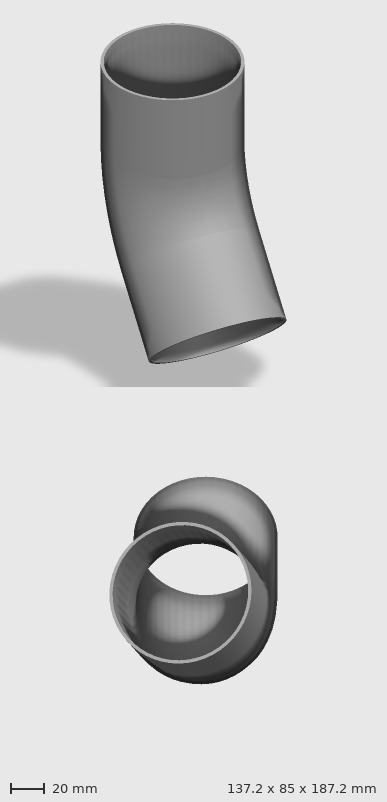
import cadquery as cq
import math

outer_diameter = 85.0
inner_diameter = 81.0
inlet_length = 55.0
outlet_length = 56.0
bend_radius = 89.8
bend_angle = 44

angle = math.radians(bend_angle)

bend_end = (bend_radius * (1 - math.cos(angle)), -bend_radius * math.sin(angle))
bend_middle = (bend_radius * (1 - math.cos(angle / 2)), -bend_radius * math.sin(angle / 2))
outlet_centre = (
    bend_end[0] + outlet_length * math.sin(angle),
    bend_end[1] - outlet_length * math.cos(angle),
)
centreline = (
    cq.Workplane("XZ")
    .moveTo(0, inlet_length)
    .lineTo(0, 0)
    .threePointArc(bend_middle, bend_end)
    .lineTo(*outlet_centre)
)

result = (
    cq.Workplane("XY", origin=(0, 0, inlet_length))
    .circle(outer_diameter / 2)
    .circle(inner_diameter / 2)
    .sweep(centreline)
)